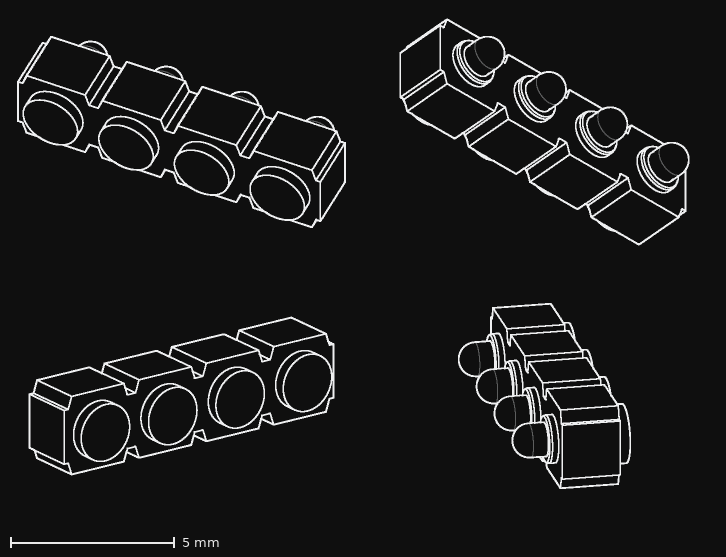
import cadquery as cq

pin_count = 4
pitch = 2.54
row_length = pin_count * pitch

housing_depth = 1.81
housing_height = 2.54
notch_depth = 0.4
notch_floor_half_width = 0.15
notch_mouth_half_width = 0.28

overall_depth = 3.48
base_diameter = 1.83
base_length = 0.4
collar_diameter = 1.48
collar_length = 0.27
collar_chamfer_length = 0.08
collar_chamfer_width = 0.03
plunger_diameter = 1.06

base_radius = base_diameter / 2
collar_radius = collar_diameter / 2
plunger_radius = plunger_diameter / 2

base_end = -base_length
collar_end = housing_depth + collar_length
tip_end = overall_depth - base_length
dome_start = tip_end - plunger_radius

pin_positions = [(i + 0.5) * pitch - row_length / 2 for i in range(pin_count)]
notch_positions = [i * pitch - row_length / 2 for i in range(pin_count + 1)]


def make_pin(x):
    """Revolved pin: wide base, barrel through the housing, chamfered collar and domed plunger."""
    dome_mid = plunger_radius * 0.5 ** 0.5
    profile = (
        cq.Workplane("XY")
        .moveTo(0, base_end)
        .lineTo(base_radius, base_end)
        .lineTo(base_radius, 0)
        .lineTo(collar_radius, 0)
        .lineTo(collar_radius, collar_end - collar_chamfer_length)
        .lineTo(collar_radius - collar_chamfer_width, collar_end)
        .lineTo(plunger_radius, collar_end)
        .lineTo(plunger_radius, dome_start)
        .threePointArc((dome_mid, dome_start + dome_mid), (0, tip_end))
        .close()
    )
    return profile.revolve(360, (0, 0, 0), (0, 1, 0)).translate((x, 0, 0))


def make_notch(x, side):
    """Tapered notch across the full depth; side is +1 for the top face, -1 for the bottom."""
    face_z = side * housing_height / 2
    floor_z = face_z - side * notch_depth
    outline = [
        (x - notch_mouth_half_width, face_z),
        (x - notch_floor_half_width, floor_z),
        (x + notch_floor_half_width, floor_z),
        (x + notch_mouth_half_width, face_z),
    ]
    return cq.Workplane("XZ").polyline(outline).close().extrude(-housing_depth)


def make_housing():
    """Bar with notches between the contacts, half notches at its ends and a bore for each pin."""
    body = cq.Workplane("XY").box(row_length, housing_depth, housing_height, centered=(True, False, True))
    for x in notch_positions:
        for side in (1, -1):
            body = body.cut(make_notch(x, side))
    bores = (
        cq.Workplane("XZ")
        .pushPoints([(x, 0) for x in pin_positions])
        .circle(collar_radius)
        .extrude(-housing_depth)
    )
    return body.cut(bores)


housing = make_housing()
pins = [make_pin(x) for x in pin_positions]

result = cq.Compound.makeCompound([housing.val(), *[pin.val() for pin in pins]])